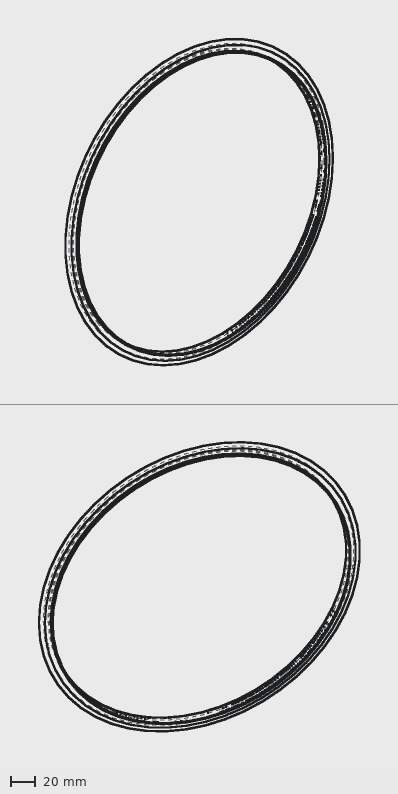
import cadquery as cq
import math

outer_diameter = 279.7
seat_diameter = 269.5
web_diameter = 271.0
sleeve_diameter = 261.0
bore_diameter = 259.0
sleeve_width = 8.0

seal_radius = (outer_diameter - seat_diameter) / 4
seal_center_radius = (outer_diameter + seat_diameter) / 4

rim_below_center = seal_center_radius - web_diameter / 2
web_half_width = math.sqrt(seal_radius**2 - rim_below_center**2)


def revolve_about_x(profile):
    """Turn a closed XY profile a full turn around the X axis."""
    return profile.revolve(360, (0, 0, 0), (1, 0, 0))


def make_carrier():
    """Thin sleeve with a central web whose rim is hollowed to seat the seal."""
    half_sleeve = sleeve_width / 2
    bore_radius = bore_diameter / 2
    sleeve_radius = sleeve_diameter / 2
    web_radius = web_diameter / 2
    profile = (
        cq.Workplane("XY")
        .moveTo(-half_sleeve, bore_radius)
        .lineTo(half_sleeve, bore_radius)
        .lineTo(half_sleeve, sleeve_radius)
        .lineTo(web_half_width, sleeve_radius)
        .lineTo(web_half_width, web_radius)
        .threePointArc((0, seat_diameter / 2), (-web_half_width, web_radius))
        .lineTo(-web_half_width, sleeve_radius)
        .lineTo(-half_sleeve, sleeve_radius)
        .close()
    )
    return revolve_about_x(profile)


def make_seal():
    """O-ring of round section resting in the groove of the carrier."""
    profile = cq.Workplane("XY").moveTo(0, seal_center_radius).circle(seal_radius)
    return revolve_about_x(profile)


carrier = make_carrier()
seal = make_seal()

result = cq.Compound.makeCompound([carrier.val(), seal.val()])